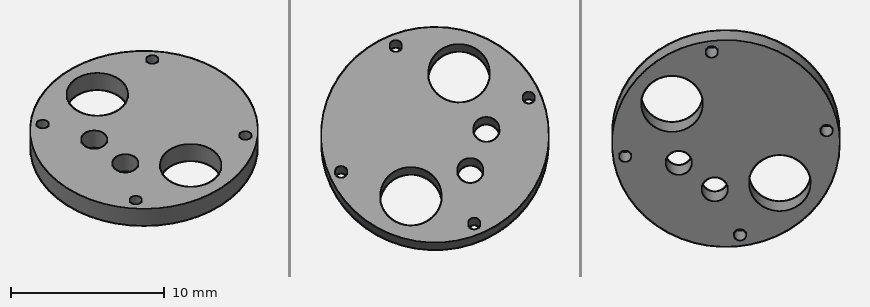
import cadquery as cq

disc_diameter = 14.8
disc_thickness = 1.55

large_hole_diameter = 4.0
large_hole_offset = 4.5

medium_hole_diameter = 1.7
medium_hole_spacing = 3.0
medium_hole_y = -3.0

small_hole_diameter = 0.8
small_hole_circle_radius = 6.6
small_hole_start_angle = 43.0
small_hole_count = 4


def mirrored_pair(offset, y):
    """Two points at equal distances on either side of the Y axis."""
    return [(-offset, y), (offset, y)]


disc = cq.Workplane("XY").circle(disc_diameter / 2).extrude(disc_thickness)

large_holes = (
    cq.Workplane("XY")
    .pushPoints(mirrored_pair(large_hole_offset, 0))
    .circle(large_hole_diameter / 2)
    .extrude(disc_thickness)
)

medium_holes = (
    cq.Workplane("XY")
    .pushPoints(mirrored_pair(medium_hole_spacing / 2, medium_hole_y))
    .circle(medium_hole_diameter / 2)
    .extrude(disc_thickness)
)

small_holes = (
    cq.Workplane("XY")
    .polarArray(small_hole_circle_radius, small_hole_start_angle, 360, small_hole_count)
    .circle(small_hole_diameter / 2)
    .extrude(disc_thickness)
)

result = disc.cut(large_holes).cut(medium_holes).cut(small_holes)